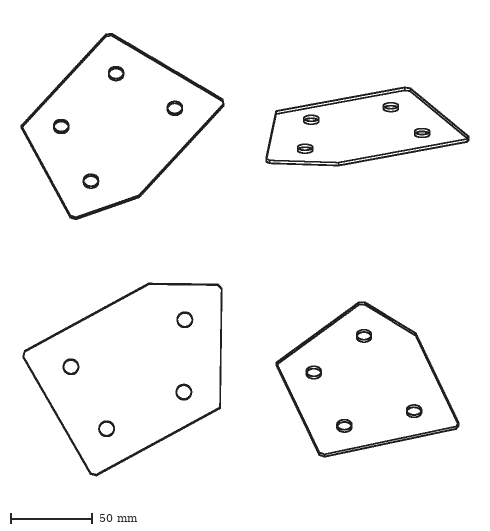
import cadquery as cq
import math

total_length = 127.7
thickness = 2.0
corner_cut = 2.5
hole_diameter = 9.2
lower_hole_spacing = 45.9
tilt = math.radians(30)

tip_cut_rise = corner_cut * math.sin(tilt)
width = (total_length + tip_cut_rise) / (1 + math.cos(tilt) * math.sin(tilt))
long_edge = width * math.cos(tilt)

hole_inset = width / 4
upper_hole_spacing = width / 2


def along_tilt(distance, inset=0.0):
    """Point along the long lower edge from the square's corner, moved inward by inset."""
    x = distance * math.cos(tilt) + inset * math.sin(tilt)
    y = -distance * math.sin(tilt) + inset * math.cos(tilt)
    return (x, y)


tip_x, tip_y = along_tilt(long_edge)
outline = [
    (0, 0),
    along_tilt(long_edge - corner_cut),
    (tip_x + corner_cut * math.sin(tilt), tip_y + corner_cut * math.cos(tilt)),
    (width, 0),
    (width, width - corner_cut),
    (width - corner_cut, width),
    (corner_cut, width),
    (0, width - corner_cut),
]
plate = cq.Workplane("XY").polyline(outline).close().extrude(thickness)

hole_centers = [
    (hole_inset, width - hole_inset),
    (hole_inset + upper_hole_spacing, width - hole_inset),
    along_tilt(long_edge - hole_inset - lower_hole_spacing, hole_inset),
    along_tilt(long_edge - hole_inset, hole_inset),
]
holes = cq.Workplane("XY").pushPoints(hole_centers).circle(hole_diameter / 2).extrude(thickness)

result = plate.cut(holes)